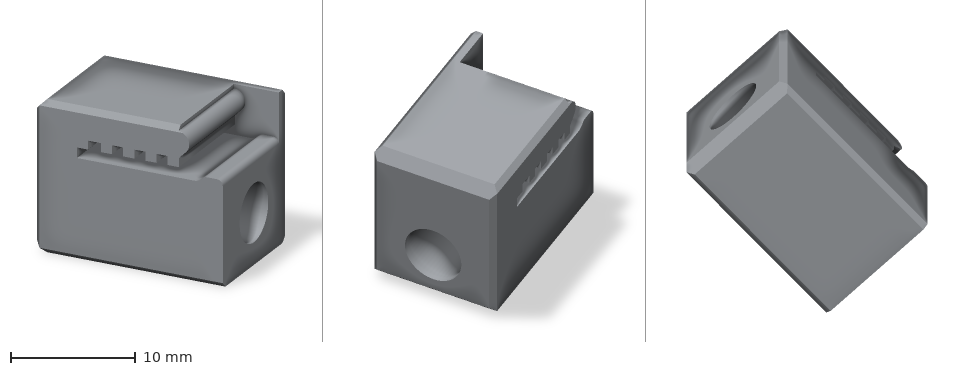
import cadquery as cq
import math

length = 16.9
width = 11.1
height = 13.3
long_chamfer = 0.47
end_chamfer = 0.93

bore_diameter = 5.1
bore_z = 4.51

back_wall = 1.12
slot_start = 3.82
slot_floor = height - 4.41
tooth_tip = height - 3.5
tooth_root = height - 2.72
tooth_width = 1.0
notch_count = 4
last_tooth_end = 12.96
first_notch_start = 4.8

nose_start = 12.9
nose_radius = 1.0
nose_center_z = height - 1.39
nose_arc_end_angle = -37

lip_start = 14.33
lip_top_start = 15.5
lip_height = 0.5
lip_bend_share = 0.64
lip_end_radius = 0.5


def make_block():
    block = cq.Workplane("XY").box(length, width, height, centered=False)
    end_profile = block.faces("<X").edges("|Y").chamfer(end_chamfer)
    side_profile = (
        cq.Workplane("YZ")
        .rect(width, height)
        .extrude(length)
        .edges("|X")
        .chamfer(long_chamfer)
        .translate((0, width / 2, height / 2))
    )
    plan_profile = block.faces("<X").edges("|Z").chamfer(long_chamfer)
    return end_profile.intersect(side_profile).intersect(plan_profile)


def nose_point(angle):
    """Point on the nose circle, with the angle in degrees from +X."""
    turn = math.radians(angle)
    return nose_start + nose_radius * math.cos(turn), nose_center_z + nose_radius * math.sin(turn)


def make_slot():
    lip_top = slot_floor + lip_height
    bend_x = lip_start + lip_bend_share * (lip_top_start - lip_start)
    bend_z = slot_floor + lip_bend_share * lip_height
    end_round_middle = lip_end_radius * (1 - math.sqrt(0.5))

    outline = (
        cq.Workplane("XZ")
        .moveTo(slot_start, slot_floor)
        .lineTo(lip_start, slot_floor)
        .tangentArcPoint((bend_x, bend_z), relative=False)
        .tangentArcPoint((lip_top_start, lip_top), relative=False)
        .lineTo(length - lip_end_radius, lip_top)
        .threePointArc(
            (length - end_round_middle, lip_top - end_round_middle),
            (length, lip_top - lip_end_radius),
        )
        .lineTo(length, height)
        .lineTo(nose_start, height)
        .lineTo(*nose_point(90))
        .threePointArc(nose_point(0), nose_point(nose_arc_end_angle))
        .lineTo(last_tooth_end, tooth_root)
    )

    tooth_end = last_tooth_end
    for notch in range(notch_count):
        notch_end = tooth_end - tooth_width
        innermost = notch == notch_count - 1
        notch_start = first_notch_start if innermost else notch_end - tooth_width
        outline = (
            outline.lineTo(tooth_end, tooth_tip)
            .lineTo(notch_end, tooth_tip)
            .lineTo(notch_end, tooth_root)
            .lineTo(notch_start, tooth_root)
        )
        tooth_end = notch_start

    outline = outline.lineTo(first_notch_start, tooth_tip).lineTo(slot_start, tooth_tip)
    return outline.close().extrude(-(width - back_wall))


def make_bore():
    return cq.Workplane("YZ").center(width / 2, bore_z).circle(bore_diameter / 2).extrude(length)


result = make_block().cut(make_slot()).cut(make_bore())